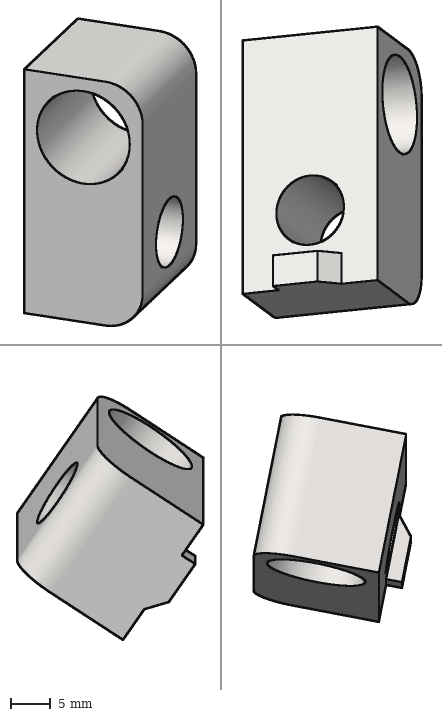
import cadquery as cq

height = 33.0
depth = 18.0
overall_width = 18.0
tab_projection = 2.0
block_width = overall_width - tab_projection
corner_radius = 5.0

large_bore_diameter = 12.5
large_bore_drop = 8.0

small_bore_diameter = 9.0
small_bore_height = 10.0

tab_height = 4.0
tab_ramp_start = 4.8
tab_ramp_end = 7.25
tab_back = 13.2


def make_block():
    """Rectangular block with both +X edges rounded."""
    block = cq.Workplane("XY").box(block_width, depth, height, centered=False)
    return block.edges("|Y and >X").fillet(corner_radius)


def make_tab():
    """Tab with a sloping front end and a square back end."""
    return (
        cq.Workplane("XY")
        .moveTo(0, tab_ramp_start)
        .lineTo(-tab_projection, tab_ramp_end)
        .lineTo(-tab_projection, tab_back)
        .lineTo(0, tab_back)
        .close()
        .extrude(tab_height)
    )


def make_large_bore():
    return (
        cq.Workplane("XZ")
        .center(block_width / 2, height - large_bore_drop)
        .circle(large_bore_diameter / 2)
        .extrude(-depth)
    )


def make_small_bore():
    return (
        cq.Workplane("YZ")
        .center(depth / 2, small_bore_height)
        .circle(small_bore_diameter / 2)
        .extrude(block_width)
    )


result = make_block().union(make_tab()).cut(make_large_bore()).cut(make_small_bore())